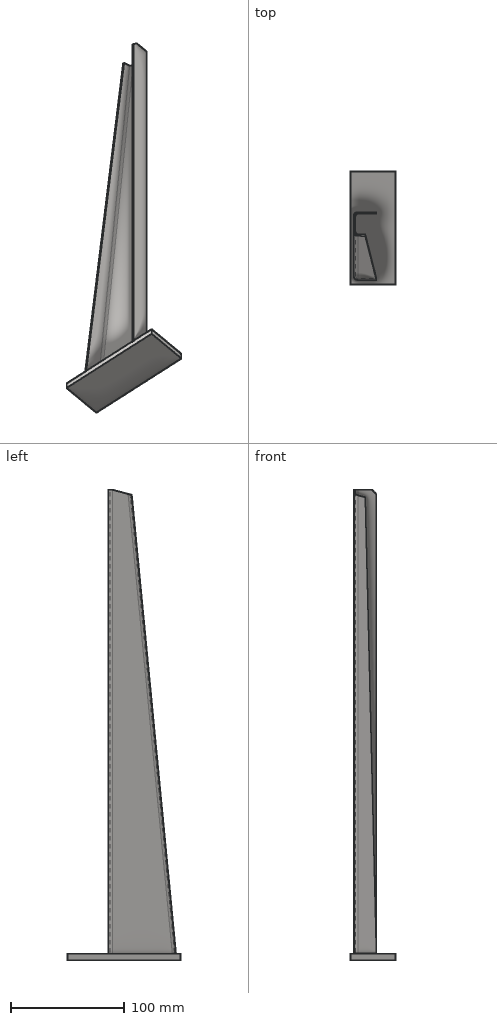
import cadquery as cq
import math

plate_width = 40.0
plate_length = 100.0
plate_thickness = 6.0

total_height = 416.0
sheet = 1.5
bend_radius = 3.5
post_left = -17.0
flange_width = 20.0
post_back = 14.0
depth_bottom = 60.0
depth_top = 20.5

top_slope = math.radians(15.0)
front_flange_top_width = 10.0
rear_corner_chamfer = 4.0

post_right = post_left + flange_width
post_height = total_height - plate_thickness
front_lean = math.atan((depth_bottom - depth_top) / post_height)


def tapered_block(inset):
    """Tapered block with rounded left edges, moved inwards by inset on its back, left and front."""
    front_inset = inset / math.cos(front_lean)
    back = post_back - inset
    front_bottom = post_back - depth_bottom + front_inset
    front_top = post_back - depth_top + front_inset
    left = post_left + inset
    return (
        cq.Workplane("YZ", origin=(left, 0, 0))
        .moveTo(front_bottom, plate_thickness)
        .lineTo(back, plate_thickness)
        .lineTo(back, total_height)
        .lineTo(front_top, total_height)
        .close()
        .extrude(post_right - left)
        .faces("<X")
        .edges("not |Y")
        .fillet(bend_radius - inset)
    )


def top_trim():
    """Wedge above the trimmed top edge, which falls from the rear bend towards the front."""
    start = post_back - bend_radius
    fall = depth_bottom * math.tan(top_slope)
    return (
        cq.Workplane("YZ", origin=(post_left, 0, 0))
        .moveTo(start, total_height)
        .lineTo(start - depth_bottom, total_height)
        .lineTo(start - depth_bottom, total_height - fall)
        .close()
        .extrude(flange_width)
    )


def front_flange_top_trim():
    """Wedge that carries the sloping top edge round the front bend and along the front flange."""
    web_end = post_back - depth_top + bend_radius
    web_end_height = total_height - (depth_top - 2 * bend_radius) * math.tan(top_slope)
    bend_length = bend_radius * math.pi / 2
    flange_start = post_left + bend_radius
    flange_start_height = web_end_height - bend_length * math.tan(top_slope)
    fall = flange_width * math.tan(top_slope)
    return (
        cq.Workplane("XZ", origin=(0, web_end, 0))
        .moveTo(post_left, total_height)
        .lineTo(post_left, web_end_height)
        .lineTo(flange_start, flange_start_height)
        .lineTo(flange_start + flange_width, flange_start_height - fall)
        .lineTo(flange_start + flange_width, total_height)
        .close()
        .extrude(depth_bottom)
    )


def front_flange_bottom_trim():
    """Sliver that squares the lower end of the front bend and flange to the leaning bend axis."""
    reach = 2 * bend_radius
    web_end = post_back - depth_bottom + bend_radius
    return (
        cq.Workplane("YZ", origin=(post_left, 0, 0))
        .moveTo(web_end, plate_thickness)
        .lineTo(web_end - reach, plate_thickness)
        .lineTo(web_end - reach, plate_thickness + reach * math.tan(front_lean))
        .close()
        .extrude(flange_width)
    )


def front_flange_edge_trim():
    """Wedge that narrows the front flange from full width at the plate to its top width."""
    trim_back = post_back - bend_radius
    return (
        cq.Workplane("XZ", origin=(0, trim_back, 0))
        .moveTo(post_right, plate_thickness)
        .lineTo(post_right, total_height)
        .lineTo(post_left + front_flange_top_width, total_height)
        .close()
        .extrude(depth_bottom)
    )


def rear_corner_trim():
    """Triangle that cuts the upper free corner of the rear flange."""
    return (
        cq.Workplane("XZ", origin=(0, post_back, 0))
        .moveTo(post_right, total_height)
        .lineTo(post_right - rear_corner_chamfer, total_height)
        .lineTo(post_right, total_height - rear_corner_chamfer)
        .close()
        .extrude(sheet)
    )


plate = cq.Workplane("XY").box(plate_width, plate_length, plate_thickness, centered=(True, True, False))

post = (
    tapered_block(0)
    .cut(tapered_block(sheet))
    .cut(top_trim())
    .cut(front_flange_edge_trim())
    .cut(front_flange_top_trim())
    .cut(front_flange_bottom_trim())
    .cut(rear_corner_trim())
)

result = cq.Compound.makeCompound([plate.val(), post.val()])